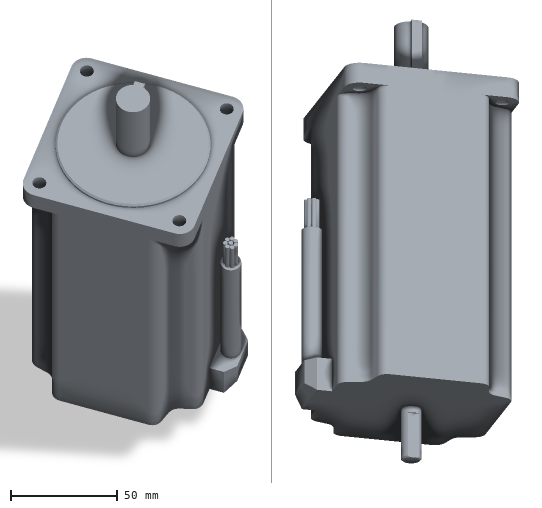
import cadquery as cq
import math


total_length = 218.0
rear_shaft_length = 25.5
front_shaft_end = total_length - rear_shaft_length

housing_side = 85.0
half_side = housing_side / 2
housing_height = 155.5
flange_thickness = 10.0
flange_corner_radius = 7.5
body_height = housing_height - flange_thickness

notch_mouth = 16.4
notch_depth = 12.9
notch_lip_radius = 5.2
notch_valley_radius = 6.3

hole_spacing = 69.5
hole_diameter = 6.5

pilot_diameter = 73.0
pilot_height = 2.0
pilot_chamfer = 0.9

front_shaft_diameter = 16.1
key_width = 5.0
key_depth = 5.0
key_length = 27.0
key_outer_offset = 10.0
key_bottom = front_shaft_end - key_length

rear_shaft_diameter = 9.5
rear_shaft_chamfer = 0.7
flat_offset = 4.0
flat_start = 3.3
flat_length = rear_shaft_length - flat_start
pad_height = 2.0
pad_width = 2.0
pad_offset = 5.0

outlet_reach = 12.0
outlet_width = 26.5
outlet_height = 16.4
outlet_chamfer_x = 4.8
outlet_chamfer_y = 5.2
outlet_chamfer_z = 4.8
outlet_end = half_side + outlet_reach

cable_diameter = 9.8
cable_x = 48.6
cable_length = 68.9
cable_end = outlet_height + cable_length
wire_diameter = 2.2
wire_length = 15.0
wire_circle_radius = 2.6
outer_wire_count = 7
first_wire_angle = math.radians(-6)


def cylinder(diameter, bottom, height, x=0.0, y=0.0):
    """Upright cylinder standing on the given height."""
    return cq.Workplane("XY", origin=(x, y, bottom)).circle(diameter / 2).extrude(height)


def make_body():
    """Square column whose four corners carry a rounded V-shaped notch."""
    mouth = half_side - notch_mouth
    valley = half_side - notch_depth
    outline = []
    lips = []
    valleys = []
    for sx, sy in [(1, 1), (-1, 1), (-1, -1), (1, -1)]:
        on_x_side = (sx * half_side, sy * mouth)
        on_y_side = (sx * mouth, sy * half_side)
        corner = [on_x_side, (sx * valley, sy * valley), on_y_side]
        if sx != sy:
            corner.reverse()
        outline += corner
        lips += [on_x_side, on_y_side]
        valleys.append((sx * valley, sy * valley))
    body = cq.Workplane("XY").polyline(outline).close().extrude(body_height)
    for points, radius in [(lips, notch_lip_radius), (valleys, notch_valley_radius)]:
        for x, y in points:
            nearest = cq.selectors.NearestToPointSelector((x, y, body_height / 2))
            body = body.edges("|Z").edges(nearest).fillet(radius)
    return body


def make_flange():
    """Square front plate with rounded corners, four mounting holes and a centring pilot."""
    flange = (
        cq.Workplane("XY", origin=(0, 0, body_height))
        .rect(housing_side, housing_side)
        .extrude(flange_thickness)
        .edges("|Z")
        .fillet(flange_corner_radius)
        .faces(">Z")
        .workplane()
        .rect(hole_spacing, hole_spacing, forConstruction=True)
        .vertices()
        .hole(hole_diameter)
    )
    pilot = cylinder(pilot_diameter, housing_height, pilot_height)
    return flange.union(pilot.faces(">Z").chamfer(pilot_chamfer))


def make_key():
    """Key flush with the shaft end at the top and rounded at the bottom."""
    half_width = key_width / 2
    round_start = key_bottom + half_width
    return (
        cq.Workplane("XZ", origin=(0, key_outer_offset, 0))
        .moveTo(-half_width, front_shaft_end)
        .lineTo(-half_width, round_start)
        .threePointArc((0, key_bottom), (half_width, round_start))
        .lineTo(half_width, front_shaft_end)
        .close()
        .extrude(key_depth)
    )


def make_front_shaft():
    """Plain shaft with a keyway that fits the key."""
    shaft = cylinder(front_shaft_diameter, housing_height, front_shaft_end - housing_height)
    return shaft.cut(make_key())


def make_rear_shaft():
    """Chamfered shaft with a flat on +Y and a small pad above it."""
    shaft = cylinder(rear_shaft_diameter, -rear_shaft_length, rear_shaft_length)
    shaft = shaft.faces("<Z").chamfer(rear_shaft_chamfer)
    beyond_flat = cq.Workplane("XY", origin=(0, flat_offset, -rear_shaft_length)).box(
        rear_shaft_diameter, rear_shaft_diameter, flat_length, centered=(True, False, False)
    )
    shaft = shaft.cut(beyond_flat)
    pad = cq.Workplane("XY", origin=(0, 0, -flat_start)).box(
        pad_width, pad_offset, pad_height, centered=(True, False, False)
    )
    return shaft.union(pad)


def make_outlet():
    """Cable outlet block with its outer vertical edges and its lower outer edge chamfered."""
    half_width = outlet_width / 2
    chamfer_start = outlet_end - outlet_chamfer_x
    block = (
        cq.Workplane("XY")
        .moveTo(half_side, -half_width)
        .lineTo(chamfer_start, -half_width)
        .lineTo(outlet_end, -half_width + outlet_chamfer_y)
        .lineTo(outlet_end, half_width - outlet_chamfer_y)
        .lineTo(chamfer_start, half_width)
        .lineTo(half_side, half_width)
        .close()
        .extrude(outlet_height)
    )
    lower_wedge = (
        cq.Workplane("XZ")
        .moveTo(chamfer_start, 0)
        .lineTo(outlet_end, 0)
        .lineTo(outlet_end, outlet_chamfer_z)
        .close()
        .extrude(half_width, both=True)
    )
    return block.cut(lower_wedge)


def make_cable():
    """Round cable ending in one central wire and a ring of outer wires."""
    cable = cylinder(cable_diameter, outlet_height, cable_length, cable_x)
    cable = cable.union(cylinder(wire_diameter, cable_end, wire_length, cable_x))
    for i in range(outer_wire_count):
        angle = first_wire_angle + 2 * math.pi * i / outer_wire_count
        x = cable_x + wire_circle_radius * math.cos(angle)
        y = wire_circle_radius * math.sin(angle)
        cable = cable.union(cylinder(wire_diameter, cable_end, wire_length, x, y))
    return cable


def make_motor():
    """Housing, both shaft ends and the cable as one solid."""
    motor = make_body().union(make_flange())
    motor = motor.union(make_front_shaft())
    motor = motor.union(make_rear_shaft())
    motor = motor.union(make_outlet())
    return motor.union(make_cable())


motor = make_motor()
key = make_key()

result = cq.Compound.makeCompound([motor.solids().val(), key.val()])